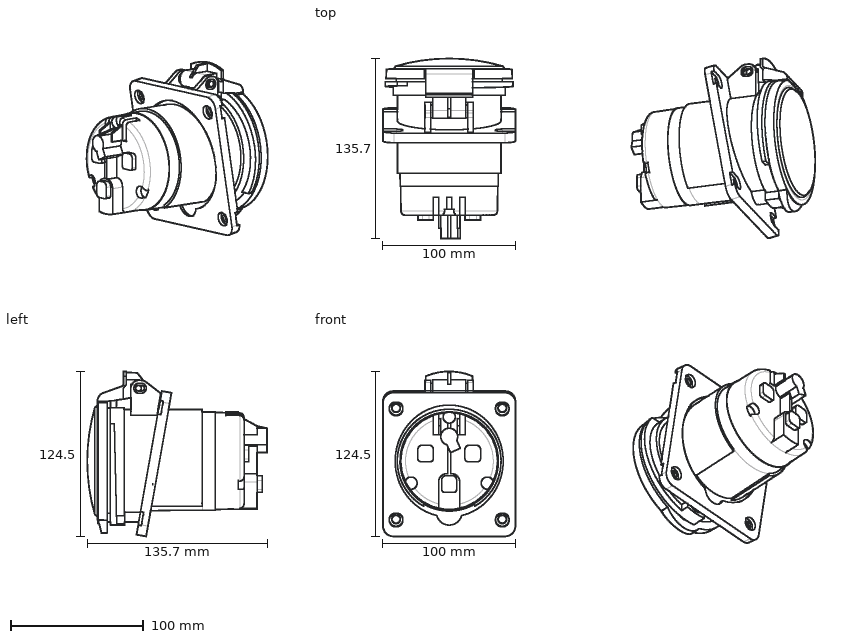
import cadquery as cq
import math


FACE_FILLET = 3.3
END_R = 36.4
END_ROOT_R = 36.7
BAND_R = 37.1
BAND_Y = (21.7, 31.5)
SHELL_R = 39.1
WINDOW_HALF_W = 19.3
WINDOW_CORE_R = 37.7
RING_R = 42.3
RING_Y = (90.3, 100.7)
RING_FLAT_Z = 40.2
NECK_R = 40.0

RAMP_R = 48.2
RAMP_THIN = 3.0
RAMP_THICK = 4.8
RAMP_START_Z = 28.3
STOP_HALF_W = 9.0
STOP_DEPTH = 10.8

DRAIN_Z = -38.5
DRAIN_R = 7.5
DRAIN_CLEARANCE = 2.2

FLANGE_W = 100.0
FLANGE_H = 110.0
FLANGE_T = 7.5
FLANGE_TILT = 10.0
FLANGE_CENTER = (0, 67.8, -2.0)
FLANGE_CORNER_R = 8.1
FLANGE_FOOT_Y = FLANGE_CENTER[1] - DRAIN_Z * math.tan(math.radians(FLANGE_TILT))
FLANGE_RECESS_RADII = (40.7, 42.2)
FLANGE_RECESS_DEPTH = 2.0
MOUNT_SPACING = (80.0, 85.0)
MOUNT_HOLE_D = 6.3
MOUNT_BORE_D = 10.3
MOUNT_BORE_DEPTH = 3.0
MOUNT_SLOT_DEPTH = 2.4

LID_R = 47.7
LID_Y = (103.0, 110.5)
LID_RIM_Y = 109.9
LID_EDGE_TAPER = 0.4
LID_FACE_R = 43.5
DOME_R = 40.4
DOME_BASE_R = 41.8
DOME_Y = 112.4
APEX_Y = 118.18
TAB_HALF_W = 17.0
TAB_Z = -54.2
TAB_FRONT_Y = 107.4

PIN_Y = 79.3
PIN_Z = 54.9
BARREL_R = 6.2
BARREL_HALF_W = 12.5
ARM_HALF_W = 17.7
ARM_BASE_Z = 44.9
SHOULDER_HALF_W = 18.9
ARM_TOP_Z = 67.64
ARM_SHOULDER_Z = 64.0
UPRIGHT_Y = (88.8, 90.9)
EAR_X = (14.05, 18.25)
EAR_R = 5.9
EAR_BOTTOM_Z = 34.5
EAR_FLANGE_POINT = (62.6, 51.0)
EAR_FLAT = 2.0
PIN_SLOT_CENTER_Y = PIN_Y - EAR_FLAT / 2
BUSH_SLOT = (9.3, 7.6)
PIN_SLOT = (6.6, 4.3)
BUSH_DEPTH = 0.3
PIN_SLOT_DEPTH = 2.0
PIN_DEPTH = 1.0
HINGE_RIB_W = 2.4
POST_X = (11.0, EAR_X[0])
POST_Y = (83.3, 85.2)
POST_TOP_Z = 57.9

TERMINAL_X = 17.75
TERMINAL_Z = 5.8
TERMINAL_SIZE = (11.8, 12.4)
PIN_TOP_R = 3.4
PIN_BOTTOM_R = 2.3
TERMINAL_H = 3.6
BLOCK_W = 15.8
BLOCK_TOP_Z = -9.5
BLOCK_R = 6.0
BLOCK_H = 9.8
EARTH_SIZE = (11.3, 12.6)
EARTH_Z = -17.3
EARTH_H = 13.9
WEB_W = 2.2
CLAMP_R = 6.35
CLAMP_Z = 18.4
CLAMP_H = 17.5
CLAMP_TAIL_W = 8.1
CLAMP_TAIL_REACH = 11.4
CLAMP_TAIL_ANGLE = -65.5
CLAMP_RIB_Z = (28.6, 24.8)
FIN_X = (6.2, 7.8)
FIN_BASE_Z = 20.0
FIN_ROOT_TOP_Z = 31.8
FIN_TIP_TOP_Z = 26.5
SLOT_X = (8.0, 12.05)
SLOT_BASE_Z = 19.8
SLOT_DEPTH = 13.6
RIM_HOLE_R = 4.6
RIM_HOLE_CIRCLE_R = 33.2
RIM_HOLE_DEPTH = 4.5
RIM_HOLE_ANGLES = (90, 210, 330)
KEY_W = 3.9
KEY_TOP_Z = 37.05


def xz_plane(y):
    """Sketch plane at height y; a positive extrusion runs towards -Y."""
    return cq.Workplane("XZ", origin=(0, y, 0))


def rod(radius, y_low, y_high, x=0, z=0):
    return xz_plane(y_high).center(x, z).circle(radius).extrude(y_high - y_low)


def box(x_range, y_range, z_range):
    size = [high - low for low, high in (x_range, y_range, z_range)]
    corner = (x_range[0], y_range[0], z_range[0])
    return cq.Workplane("XY").box(*size, centered=False).translate(corner)


def side_prism(points, x_low, x_high):
    """Extrude a (y, z) outline from x_low to x_high."""
    return cq.Workplane("YZ", origin=(x_low, 0, 0)).polyline(points).close().extrude(x_high - x_low)


def both_sides(solid):
    return solid.union(solid.mirror("YZ"))


def make_body():
    profile = (
        cq.Workplane("XY")
        .moveTo(0, 0)
        .lineTo(END_R - FACE_FILLET, 0)
        .radiusArc((END_R, FACE_FILLET), -FACE_FILLET)
        .lineTo(END_ROOT_R, BAND_Y[0])
        .lineTo(BAND_R, BAND_Y[0])
        .lineTo(BAND_R, BAND_Y[1])
        .lineTo(SHELL_R, BAND_Y[1])
        .lineTo(SHELL_R, RING_Y[0])
        .lineTo(NECK_R, RING_Y[0])
        .lineTo(NECK_R, LID_Y[0])
        .lineTo(0, LID_Y[0])
        .close()
    )
    body = profile.revolve(360, (0, 0, 0), (0, 1, 0))
    ring = rod(RING_R, *RING_Y)
    ring = ring.intersect(box((-RING_R, RING_R), RING_Y, (-RING_R, RING_FLAT_Z)))
    drain = rod(DRAIN_R, FLANGE_FOOT_Y, LID_Y[0], z=DRAIN_Z)
    return body.union(ring).union(drain)


def make_shell_window():
    """Bottom stretch where the outer shell is missing in front of the flange."""
    start_y = BAND_Y[1]
    y_range = (start_y, FLANGE_FOOT_Y)
    sector = box((-WINDOW_HALF_W, WINDOW_HALF_W), y_range, (-RAMP_R, 0))
    length = FLANGE_FOOT_Y - start_y
    core = cq.Solid.makeCone(BAND_R, WINDOW_CORE_R, length, cq.Vector(0, start_y, 0), cq.Vector(0, 1, 0))
    return sector.cut(core)


def make_ramps():
    """Two locking ramps, half a turn apart, and the stop under the body."""
    top_y = RING_Y[1]
    wedge = side_prism(
        [
            (top_y, RAMP_START_Z),
            (top_y - RAMP_THIN, RAMP_START_Z),
            (top_y - RAMP_THICK, -RAMP_R),
            (top_y, -RAMP_R),
        ],
        -RAMP_R,
        -STOP_HALF_W,
    )
    ramp = wedge.intersect(rod(RAMP_R, *RING_Y))
    opposite = ramp.rotate((0, 0, 0), (0, 1, 0), 180)
    stop_y = (top_y - STOP_DEPTH, top_y)
    stop = box((-STOP_HALF_W, STOP_HALF_W), stop_y, (-RAMP_R, -SHELL_R / 2))
    return ramp.union(opposite).union(stop.intersect(rod(RAMP_R, *stop_y)))


def tilt_into_place(solid):
    return solid.rotate((0, 0, 0), (1, 0, 0), FLANGE_TILT).translate(FLANGE_CENTER)


def make_flange():
    half_t = FLANGE_T / 2
    plate = xz_plane(half_t).rect(FLANGE_W, FLANGE_H).extrude(FLANGE_T).edges("|Y").fillet(FLANGE_CORNER_R)
    mount_x = MOUNT_SPACING[0] / 2
    mount_z = MOUNT_SPACING[1] / 2
    for z in (-mount_z, mount_z):
        for side in (-1, 1):
            x = side * mount_x
            plate = plate.cut(rod(MOUNT_HOLE_D / 2, -half_t, half_t, x, z))
            plate = plate.cut(rod(MOUNT_BORE_D / 2, -half_t, MOUNT_BORE_DEPTH - half_t, x, z))
            slot_length = 2 * (FLANGE_W / 2 - mount_x) + 2 * MOUNT_BORE_D
            slot_x = side * (mount_x + (slot_length - MOUNT_BORE_D) / 2)
            slot = xz_plane(half_t).center(slot_x, z).slot2D(slot_length, MOUNT_BORE_D)
            plate = plate.cut(slot.extrude(MOUNT_SLOT_DEPTH))
    return tilt_into_place(plate)


def make_flange_recess():
    """Keyhole-shaped clearance around the body, sunk into the connection side of the flange."""
    length = 2 * FLANGE_CENTER[1]
    keyhole = xz_plane(length).ellipse(*FLANGE_RECESS_RADII).extrude(length)
    keyhole = keyhole.union(rod(DRAIN_R + DRAIN_CLEARANCE, 0, length, z=DRAIN_Z))
    half_t = FLANGE_T / 2
    layer = xz_plane(FLANGE_RECESS_DEPTH - half_t).rect(FLANGE_W, FLANGE_H).extrude(FLANGE_RECESS_DEPTH)
    return keyhole.intersect(tilt_into_place(layer))


def make_lid():
    dome_rise = APEX_Y - DOME_Y
    dome_sphere_r = (DOME_R**2 + dome_rise**2) / (2 * dome_rise)
    profile = (
        cq.Workplane("XY")
        .moveTo(0, LID_Y[0])
        .lineTo(LID_R, LID_Y[0])
        .lineTo(LID_R - LID_EDGE_TAPER, LID_RIM_Y)
        .lineTo(LID_FACE_R, LID_Y[1])
        .lineTo(DOME_BASE_R, LID_Y[1])
        .lineTo(DOME_R, DOME_Y)
        .radiusArc((0, APEX_Y), -dome_sphere_r)
        .close()
    )
    disc = profile.revolve(360, (0, 0, 0), (0, 1, 0))
    tab_top_z = -math.sqrt(LID_R**2 - TAB_HALF_W**2)
    tab = (
        xz_plane(LID_Y[1])
        .moveTo(-TAB_HALF_W, 0)
        .lineTo(-TAB_HALF_W, tab_top_z)
        .threePointArc((0, TAB_Z), (TAB_HALF_W, tab_top_z))
        .lineTo(TAB_HALF_W, 0)
        .close()
        .extrude(LID_Y[1] - LID_Y[0])
    )
    bevel = side_prism(
        [(LID_Y[0], 0), (LID_RIM_Y, 0), (LID_RIM_Y, tab_top_z), (TAB_FRONT_Y, TAB_Z), (LID_Y[0], TAB_Z)],
        -TAB_HALF_W,
        TAB_HALF_W,
    )
    shoulder_z = math.sqrt(LID_R**2 - SHOULDER_HALF_W**2)
    shoulders = (
        xz_plane(LID_RIM_Y)
        .polyline(
            [
                (-SHOULDER_HALF_W, shoulder_z),
                (-ARM_HALF_W, ARM_BASE_Z),
                (ARM_HALF_W, ARM_BASE_Z),
                (SHOULDER_HALF_W, shoulder_z),
            ]
        )
        .close()
        .extrude(LID_RIM_Y - LID_Y[0])
    )
    return disc.union(tab.intersect(bevel)).union(shoulders)


def make_lid_arm():
    upright_low, upright_high = UPRIGHT_Y
    heel_z = 46.6
    elbow_middle = (109.4, 48.7)
    elbow_end = (106.7, 51.2)
    corner_z = 57.5
    corner_bevel = 1.0
    upright_foot_drop = 2.5
    rib_root_z = 67.1
    rib_crest = (80.4, 66.5)
    rib_tip = (73.6, 58.0)
    profile = (
        cq.Workplane("YZ", origin=(-ARM_HALF_W, 0, 0))
        .moveTo(LID_Y[0], ARM_BASE_Z)
        .lineTo(LID_Y[1], ARM_BASE_Z)
        .threePointArc(elbow_middle, elbow_end)
        .lineTo(upright_high + corner_bevel, corner_z - corner_bevel)
        .lineTo(upright_high, corner_z)
        .lineTo(upright_high, ARM_TOP_Z)
        .lineTo(upright_low, ARM_TOP_Z)
        .lineTo(upright_low, corner_z)
        .lineTo(upright_high, corner_z - upright_foot_drop)
        .lineTo(upright_high, heel_z)
        .close()
    )
    arm = profile.extrude(2 * ARM_HALF_W)
    crown = (
        xz_plane(LID_Y[1])
        .moveTo(-ARM_HALF_W, 0)
        .lineTo(ARM_HALF_W, 0)
        .lineTo(ARM_HALF_W, ARM_SHOULDER_Z)
        .threePointArc((0, ARM_TOP_Z), (-ARM_HALF_W, ARM_SHOULDER_Z))
        .close()
        .extrude(LID_Y[1] - upright_low)
    )
    barrel = (
        cq.Workplane("YZ", origin=(-BARREL_HALF_W, 0, 0))
        .moveTo(upright_high, heel_z)
        .lineTo(PIN_Y, PIN_Z - BARREL_R)
        .threePointArc((PIN_Y - BARREL_R, PIN_Z), (PIN_Y, PIN_Z + BARREL_R))
        .lineTo(upright_high, PIN_Z + BARREL_R)
        .close()
        .extrude(2 * BARREL_HALF_W)
    )
    rib = side_prism(
        [
            (upright_high, PIN_Z),
            (upright_high, rib_root_z),
            rib_crest,
            rib_tip,
            (PIN_Y, PIN_Z),
        ],
        -HINGE_RIB_W / 2,
        HINGE_RIB_W / 2,
    )
    return arm.intersect(crown).union(barrel).union(rib)


def make_ears():
    """Two hinge ears rising from the flange, with the hinge pin between them."""
    x_inner, x_outer = EAR_X
    thickness = x_outer - x_inner
    flange_y, flange_z = EAR_FLANGE_POINT
    foot_lean = (flange_z - EAR_BOTTOM_Z) * math.tan(math.radians(FLANGE_TILT))
    front_y = PIN_Y - EAR_FLAT
    reach = math.hypot(front_y - flange_y, PIN_Z - flange_z)
    heading = math.atan2(flange_z - PIN_Z, flange_y - front_y)
    tangent_angle = heading - math.acos(EAR_R / reach)
    tangent = (front_y + EAR_R * math.cos(tangent_angle), PIN_Z + EAR_R * math.sin(tangent_angle))
    ear = (
        cq.Workplane("YZ", origin=(x_inner, 0, 0))
        .moveTo(PIN_Y + EAR_R, EAR_BOTTOM_Z)
        .lineTo(PIN_Y + EAR_R, PIN_Z)
        .radiusArc((PIN_Y, PIN_Z + EAR_R), -EAR_R)
        .lineTo(front_y, PIN_Z + EAR_R)
        .radiusArc(tangent, -EAR_R)
        .lineTo(flange_y, flange_z)
        .lineTo(flange_y + foot_lean, EAR_BOTTOM_Z)
        .close()
        .extrude(thickness)
    )

    def pin_slot(size, depth):
        plane = cq.Workplane("YZ", origin=(x_outer - depth, PIN_SLOT_CENTER_Y, PIN_Z))
        return plane.slot2D(*size).extrude(depth)

    ear = ear.cut(pin_slot(BUSH_SLOT, BUSH_DEPTH).cut(pin_slot(PIN_SLOT, BUSH_DEPTH)))
    ear = ear.cut(pin_slot(PIN_SLOT, PIN_SLOT_DEPTH))
    pin_r = PIN_SLOT[1] / 2
    pin_y = PIN_SLOT_CENTER_Y + PIN_SLOT[0] / 2 - pin_r
    pin_end = x_outer - PIN_DEPTH
    pin = cq.Workplane("YZ", origin=(0, pin_y, PIN_Z)).circle(pin_r).extrude(pin_end)
    bush = cq.Workplane("YZ", origin=(0, PIN_SLOT_CENTER_Y, PIN_Z)).slot2D(*BUSH_SLOT).extrude(x_inner)
    post = box(POST_X, POST_Y, (EAR_BOTTOM_Z, POST_TOP_Z))
    return both_sides(ear.union(pin).union(bush).union(post))


def rounded_pin(x, z, size, height):
    pin = xz_plane(0).center(x, z).rect(*size).extrude(height)
    return pin.edges("|Y and >Z").fillet(PIN_TOP_R).edges("|Y and <Z").fillet(PIN_BOTTOM_R)


def make_terminals():
    """Side terminals, and the earth terminal on its round-topped block."""
    side = rounded_pin(TERMINAL_X, TERMINAL_Z, TERMINAL_SIZE, TERMINAL_H)
    half_w = BLOCK_W / 2
    block = box((-half_w, half_w), (-BLOCK_H, FACE_FILLET), (-BAND_R, BLOCK_TOP_Z))
    block = block.edges("|Y and >Z").fillet(BLOCK_R)
    block = block.intersect(rod(END_R, -BLOCK_H, FACE_FILLET))
    earth = rounded_pin(0, EARTH_Z, EARTH_SIZE, EARTH_H)
    web = box((-WEB_W / 2, WEB_W / 2), (-BLOCK_H, 0), (EARTH_Z, CLAMP_Z))
    return both_sides(side).union(block).union(earth).union(web)


def make_clamp():
    """Cable clamp: a post with a slanted tail, a rib above it and a fin on each side."""
    post = rod(CLAMP_R, -CLAMP_H, 0, z=CLAMP_Z)
    tail = xz_plane(0).rect(CLAMP_TAIL_REACH, CLAMP_TAIL_W).extrude(CLAMP_H)
    tail = tail.translate((CLAMP_TAIL_REACH / 2, 0, 0))
    tail = tail.rotate((0, 0, 0), (0, 1, 0), -CLAMP_TAIL_ANGLE).translate((0, 0, CLAMP_Z))
    rib_root_z, rib_tip_z = CLAMP_RIB_Z
    rib = side_prism(
        [(0, CLAMP_Z), (0, rib_root_z), (-CLAMP_H, rib_tip_z), (-CLAMP_H, CLAMP_Z)],
        -WEB_W / 2,
        WEB_W / 2,
    )
    fin = side_prism(
        [
            (0, FIN_BASE_Z),
            (0, FIN_ROOT_TOP_Z),
            (-BLOCK_H, FIN_TIP_TOP_Z),
            (-BLOCK_H, FIN_BASE_Z),
        ],
        *FIN_X,
    )
    return post.union(tail).union(rib).union(both_sides(fin))


def make_face_cuts():
    """Two slots open to the rim, and three blind holes around the connection face."""
    cuts = both_sides(box(SLOT_X, (0, SLOT_DEPTH), (SLOT_BASE_Z, BAND_R)))
    for angle in RIM_HOLE_ANGLES:
        x = RIM_HOLE_CIRCLE_R * math.cos(math.radians(angle))
        z = RIM_HOLE_CIRCLE_R * math.sin(math.radians(angle))
        cuts = cuts.union(rod(RIM_HOLE_R, 0, RIM_HOLE_DEPTH, x, z))
    return cuts


def make_key():
    return box((-KEY_W / 2, KEY_W / 2), (RIM_HOLE_DEPTH, SLOT_DEPTH), (RIM_HOLE_CIRCLE_R, KEY_TOP_Z))


body = make_body().cut(make_shell_window()).cut(make_face_cuts())
flange = make_flange().cut(make_flange_recess())

result = body
for feature in (
    flange,
    make_ramps(),
    make_lid(),
    make_lid_arm(),
    make_ears(),
    make_terminals(),
    make_clamp(),
    make_key(),
):
    result = result.union(feature)